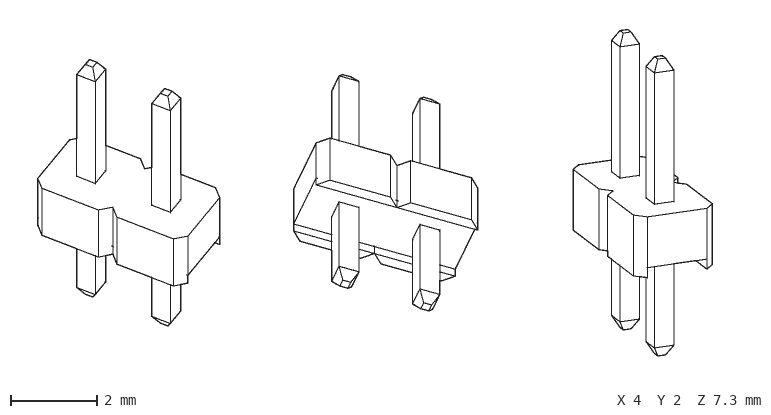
import cadquery as cq

pin_count = 2
pitch = 2.0
housing_height = 1.5
corner_cut = 0.25
channel_depth = 0.25
pin_length = 7.3
pin_width = 0.5
pin_below = 2.31
tip_height = 0.27
tip_width = 0.2

housing_length = pin_count * pitch
channel_width = pitch - 2 * corner_cut
pin_bottom = -pin_length / 2
housing_bottom = pin_bottom + pin_below
shank_length = pin_length - 2 * tip_height
pin_positions = [(i - (pin_count - 1) / 2) * pitch for i in range(pin_count)]


def make_pin(x):
    """Square pin with a tapered, flat-ended tip at each end."""
    shank_top = shank_length / 2
    pin = cq.Workplane("XY").box(pin_width, pin_width, shank_length)
    for direction in (1, -1):
        tip = (
            cq.Workplane("XY", origin=(0, 0, direction * shank_top))
            .rect(pin_width, pin_width)
            .workplane(offset=direction * tip_height)
            .rect(tip_width, tip_width)
            .loft(ruled=True)
        )
        pin = pin.union(tip)
    return pin.translate((x, 0, 0))


def make_cell(x):
    """Square block with its four vertical corners cut off."""
    return (
        cq.Workplane("XY", origin=(x, 0, housing_bottom))
        .rect(pitch, pitch)
        .extrude(housing_height)
        .edges("|Z")
        .chamfer(corner_cut)
    )


def make_housing():
    """Row of joined cells with a channel underneath and a square hole for each pin."""
    housing = make_cell(pin_positions[0])
    for x in pin_positions[1:]:
        housing = housing.union(make_cell(x))

    channel = (
        cq.Workplane("XY", origin=(0, 0, housing_bottom))
        .rect(housing_length, channel_width)
        .extrude(channel_depth)
    )
    pin_holes = (
        cq.Workplane("XY", origin=(0, 0, housing_bottom))
        .pushPoints([(x, 0) for x in pin_positions])
        .rect(pin_width, pin_width)
        .extrude(housing_height)
    )
    return housing.cut(channel).cut(pin_holes)


housing = make_housing()
pins = [make_pin(x) for x in pin_positions]

result = cq.Compound.makeCompound([housing.solids().val(), *[pin.solids().val() for pin in pins]])